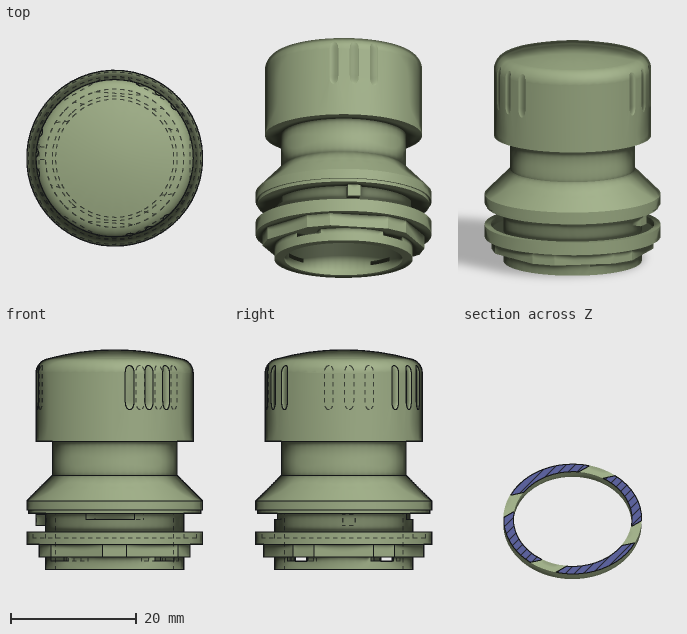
import cadquery as cq
import math

TOTAL_HEIGHT = 34.95
NUT_BOTTOM = 2.0
FLANGE_BOTTOM = 4.0
FLANGE_TOP = 6.0
FLANGE_RECESS_FLOOR = 5.0
BARREL_SHOULDER = 8.0
BEZEL_BOTTOM = 8.95
BEZEL_LIP_TOP = 9.45
CONE_BOTTOM = 10.95
CONE_TOP = 15.0
CAP_BOTTOM = 20.4

BARREL_DIAMETER = 22.0
BORE_DIAMETER = 18.8
FLANGE_DIAMETER = 28.0
FLANGE_RECESS_DIAMETER = 26.0
BEZEL_DIAMETER = 28.0
BEZEL_LIP_DIAMETER = 27.4
NECK_DIAMETER = 19.85
CAP_DIAMETER = 25.0

DOME_RADIUS = 40.0
CROWN_FILLET = 2.3

NUT_ACROSS_FLATS = 24.0
NUT_ACROSS_CORNERS = 25.5

CLOCKING_ANGLE = -4.0

BARREL_FLAT_DISTANCE = 10.3
KEY_REACH = 12.5
KEY_WIDTH = 2.0
KEY_BOTTOM = 7.0
KEY_TOP = 8.8

WINDOW_BOTTOM = 1.35
WINDOW_INNER_EDGE = 5.0
WINDOW_OUTER_EDGE = 8.45
WINDOW_DRAFT = 10.0

GROOVE_RADIUS = 1.0
GROOVE_DEPTH = 0.33
GROOVE_RUNOUT_TOP = 26.8
GROOVE_RUNOUT_RADIUS = 2.0
GROOVE_PITCH_ANGLE = 15.0
GROOVE_GROUPS = 3
GROOVES_PER_GROUP = 3


def disc(diameter, bottom, top):
    return cq.Workplane("XY").workplane(offset=bottom).circle(diameter / 2).extrude(top - bottom)


def make_cap():
    """Cap with a domed top and a fillet tangent to both the dome and the side."""
    cap_radius = CAP_DIAMETER / 2
    dome_center_z = TOTAL_HEIGHT - DOME_RADIUS
    fillet_center_r = cap_radius - CROWN_FILLET
    center_distance = DOME_RADIUS - CROWN_FILLET
    fillet_center_z = dome_center_z + math.sqrt(center_distance**2 - fillet_center_r**2)
    slope = math.asin(fillet_center_r / center_distance)

    def on_dome(angle):
        return (DOME_RADIUS * math.sin(angle), dome_center_z + DOME_RADIUS * math.cos(angle))

    middle = (slope + math.pi / 2) / 2
    fillet_middle = (
        fillet_center_r + CROWN_FILLET * math.sin(middle),
        fillet_center_z + CROWN_FILLET * math.cos(middle),
    )
    profile = (
        cq.Workplane("XZ")
        .moveTo(0, CAP_BOTTOM)
        .lineTo(cap_radius, CAP_BOTTOM)
        .lineTo(cap_radius, fillet_center_z)
        .threePointArc(fillet_middle, on_dome(slope))
        .threePointArc(on_dome(slope / 2), (0, TOTAL_HEIGHT))
        .close()
    )
    return profile.revolve(360, (0, 0, 0), (0, 1, 0))


def make_groove():
    """Cutter on the +X side: a straight round groove that curves outwards at its lower end."""
    groove_axis = CAP_DIAMETER / 2 - GROOVE_DEPTH + GROOVE_RADIUS
    section = cq.Workplane("XY").workplane(offset=GROOVE_RUNOUT_TOP).center(groove_axis, 0)
    straight = section.circle(GROOVE_RADIUS).extrude(TOTAL_HEIGHT - GROOVE_RUNOUT_TOP)
    runout = section.circle(GROOVE_RADIUS).revolve(
        90, (GROOVE_RUNOUT_RADIUS, 0, 0), (GROOVE_RUNOUT_RADIUS, -1, 0)
    )
    return straight.union(runout)


def cut_grooves(cap):
    groove = make_groove()
    for group in range(GROOVE_GROUPS):
        group_angle = 180 + CLOCKING_ANGLE + group * 360 / GROOVE_GROUPS
        for index in range(GROOVES_PER_GROUP):
            offset = (index - (GROOVES_PER_GROUP - 1) / 2) * GROOVE_PITCH_ANGLE
            cap = cap.cut(groove.rotate((0, 0, 0), (0, 0, 1), group_angle + offset))
    return cap


def make_bezel():
    """Lip, rim and cone below the neck."""
    lip = disc(BEZEL_LIP_DIAMETER, BEZEL_BOTTOM, BEZEL_LIP_TOP)
    rim = disc(BEZEL_DIAMETER, BEZEL_LIP_TOP, CONE_BOTTOM)
    cone = cq.Workplane("XY").add(
        cq.Solid.makeCone(
            BEZEL_DIAMETER / 2,
            NECK_DIAMETER / 2,
            CONE_TOP - CONE_BOTTOM,
            pnt=cq.Vector(0, 0, CONE_BOTTOM),
        )
    )
    neck = disc(NECK_DIAMETER, CONE_TOP, CAP_BOTTOM)
    return lip.union(rim).union(cone).union(neck)


def make_nut():
    """Hexagonal nut with two flats square to X and a flange recessed around the barrel."""
    corner_scale = 1 / math.cos(math.pi / 6)
    height = FLANGE_BOTTOM - NUT_BOTTOM
    plane = cq.Workplane("XY").workplane(offset=NUT_BOTTOM)
    hexagon = plane.polygon(6, NUT_ACROSS_FLATS * corner_scale).extrude(height)
    hexagon = hexagon.rotate((0, 0, 0), (0, 0, 1), 30)
    corner_cut = plane.polygon(6, NUT_ACROSS_CORNERS * corner_scale).extrude(height)
    flange = disc(FLANGE_DIAMETER, FLANGE_BOTTOM, FLANGE_TOP)
    recess = disc(FLANGE_RECESS_DIAMETER, FLANGE_RECESS_FLOOR, FLANGE_TOP)
    return hexagon.intersect(corner_cut).union(flange).cut(recess)


def make_barrel():
    """Mounting barrel with a flat on each side above its shoulder and a locating key on -X."""
    barrel = disc(BARREL_DIAMETER, 0, BARREL_SHOULDER)
    collar_height = BEZEL_BOTTOM - BARREL_SHOULDER
    flats = (
        cq.Workplane("XY")
        .workplane(offset=BARREL_SHOULDER)
        .rect(BARREL_DIAMETER, 2 * BARREL_FLAT_DISTANCE)
        .extrude(collar_height)
    )
    collar = disc(BARREL_DIAMETER, BARREL_SHOULDER, BEZEL_BOTTOM).intersect(flats)
    key_length = KEY_REACH - BORE_DIAMETER / 2
    key = (
        cq.Workplane("XY")
        .box(key_length, KEY_WIDTH, KEY_TOP - KEY_BOTTOM, centered=(False, True, False))
        .translate((-KEY_REACH, 0, KEY_BOTTOM))
    )
    return barrel.union(collar).union(key)


def make_window():
    """Cutter for the window on the +X, +Y side; its side walls close in towards the bore."""
    barrel_radius = BARREL_DIAMETER / 2
    taper = math.tan(math.radians(WINDOW_DRAFT))
    inner_wall_x = math.sqrt(barrel_radius**2 - WINDOW_INNER_EDGE**2)
    outer_wall_x = math.sqrt(barrel_radius**2 - WINDOW_OUTER_EDGE**2)
    bore_radius = BORE_DIAMETER / 2
    start_x = math.sqrt(bore_radius**2 - WINDOW_OUTER_EDGE**2)
    end_x = barrel_radius

    def inner_wall(x):
        return (x, WINDOW_INNER_EDGE + taper * (inner_wall_x - x))

    def outer_wall(x):
        return (x, WINDOW_OUTER_EDGE - taper * (outer_wall_x - x))

    return (
        cq.Workplane("XY")
        .workplane(offset=WINDOW_BOTTOM)
        .polyline([inner_wall(start_x), inner_wall(end_x), outer_wall(end_x), outer_wall(start_x)])
        .close()
        .extrude(NUT_BOTTOM - WINDOW_BOTTOM)
    )


def cut_windows(barrel):
    window = make_window()
    pair = window.union(window.mirror("XZ"))
    return barrel.cut(pair).cut(pair.mirror("YZ"))


barrel = make_barrel().cut(disc(BORE_DIAMETER, 0, BEZEL_BOTTOM))
barrel = cut_windows(barrel).rotate((0, 0, 0), (0, 0, 1), CLOCKING_ANGLE)
nut = make_nut().cut(disc(BORE_DIAMETER, NUT_BOTTOM, FLANGE_TOP))

result = barrel.union(nut).union(make_bezel()).union(cut_grooves(make_cap()))